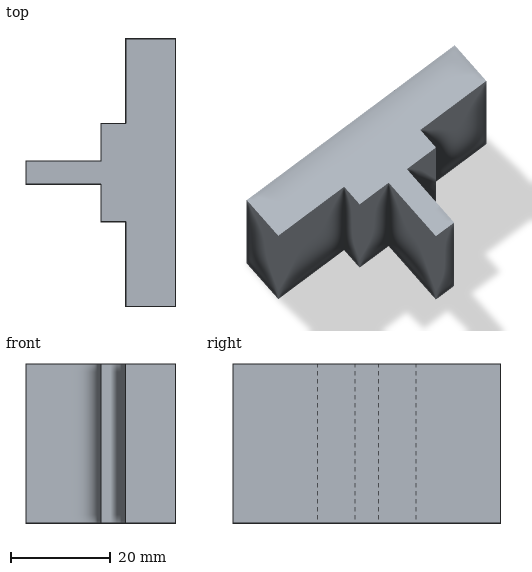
import cadquery as cq

length = 53.7
height = 32.0
depth = 30.0

plate_thickness = 10.05
block_thickness = 4.95
block_width = 19.7
fin_width = 4.7
fin_reach = depth - plate_thickness - block_thickness


def upright_slab(x_start, thickness, width):
    """Full-height slab starting at x_start and centred on Y."""
    return (
        cq.Workplane("XY")
        .box(thickness, width, height, centered=(False, True, False))
        .translate((x_start, 0, 0))
    )


fin = upright_slab(0, fin_reach, fin_width)
block = upright_slab(fin_reach, block_thickness, block_width)
plate = upright_slab(fin_reach + block_thickness, plate_thickness, length)

result = plate.union(block).union(fin)